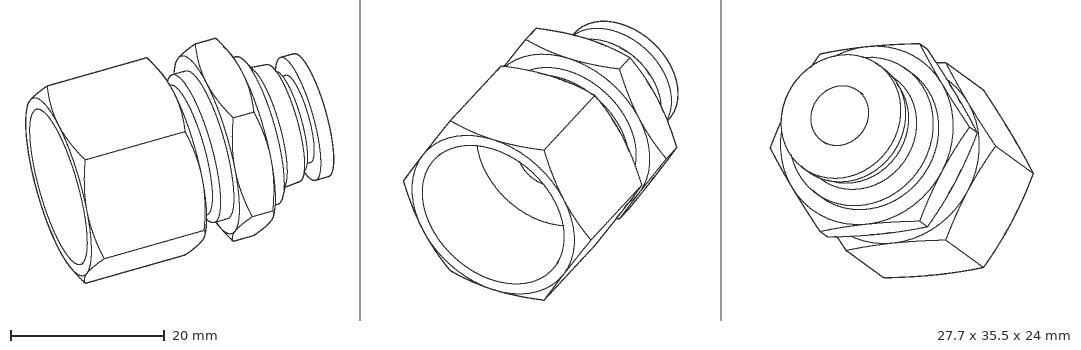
import cadquery as cq
import math

total_length = 35.55
across_flats = 24.0
across_corners = across_flats / math.cos(math.radians(30))
hex_chamfer_angle = 30.0

socket_length = 16.05
nut_start = 20.6
nut_length = 5.0

groove_radius = 8.78
thread_radius = 10.0
thread_start = 18.05
thread_full_start = 18.75
thread_full_end = 27.6
thread_end = 28.72

collar_radius = 8.1
collar_taper_start = 29.2
collar_end = 31.2
collar_tip_radius = 7.93
step_radius = 6.75
step_end = 32.05
neck_radius = 5.9
flange_start = 33.3
flange_radius = 8.32
flange_chamfer_start = 35.12
flange_tip_radius = 5.9

tube_bore_radius = 4.0
socket_mouth_radius = 10.5
socket_bottom_radius = 10.03
socket_depth = 14.0


def revolve_profile(points):
    """Revolve a closed (radius, y) profile about the Y axis."""
    return cq.Workplane("XY").polyline(points).close().revolve(360, (0, 0), (0, 1))


def chamfered_hex(start, length):
    """Hexagon along Y with conically chamfered corners at both ends."""
    end = start + length
    face_radius = across_flats / 2
    corner_radius = across_corners / 2
    chamfer = (corner_radius - face_radius) * math.tan(math.radians(hex_chamfer_angle))
    prism = (
        cq.Workplane("XZ", origin=(0, end, 0))
        .polygon(6, across_corners)
        .extrude(length)
    )
    envelope = revolve_profile([
        (0, start),
        (face_radius, start),
        (corner_radius, start + chamfer),
        (corner_radius, end - chamfer),
        (face_radius, end),
        (0, end),
    ])
    return prism.intersect(envelope)


def turned_body():
    """Outside of the body from the socket to the release ring."""
    return revolve_profile([
        (0, socket_depth),
        (groove_radius, socket_depth),
        (groove_radius, thread_start),
        (thread_radius, thread_full_start),
        (thread_radius, thread_full_end),
        (collar_radius, thread_end),
        (collar_radius, collar_taper_start),
        (collar_tip_radius, collar_end),
        (step_radius, collar_end),
        (step_radius, step_end),
        (neck_radius, step_end),
        (neck_radius, flange_start),
        (flange_radius, flange_start),
        (flange_radius, flange_chamfer_start),
        (flange_tip_radius, total_length),
        (0, total_length),
    ])


def bores():
    """Tapered socket opening into the straight tube passage."""
    return revolve_profile([
        (0, 0),
        (socket_mouth_radius, 0),
        (socket_bottom_radius, socket_depth),
        (tube_bore_radius, socket_depth),
        (tube_bore_radius, total_length),
        (0, total_length),
    ])


socket_hex = chamfered_hex(0, socket_length)
lock_nut = chamfered_hex(nut_start, nut_length)
result = turned_body().union(socket_hex).union(lock_nut).cut(bores())